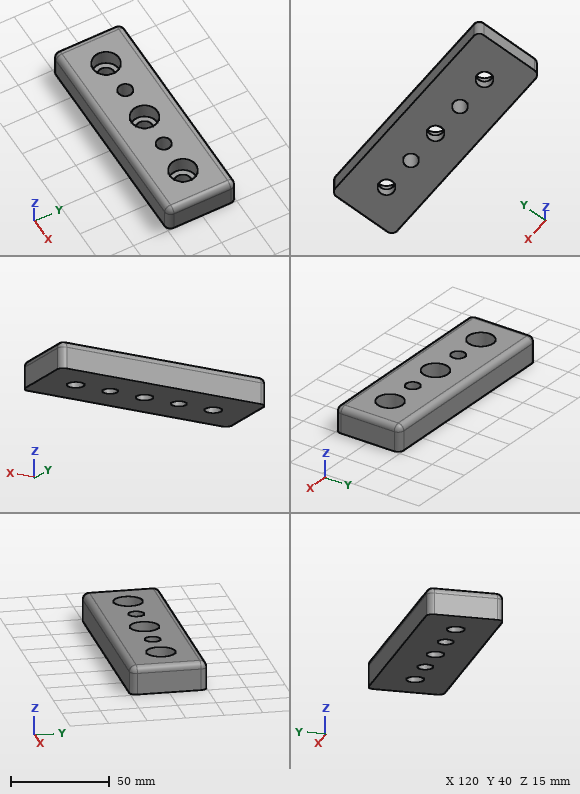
import cadquery as cq

length = 120.0
width = length / 3
height = length / 8
edge_radius = 3.5

hole_pitch = length / 6
plain_hole_diameter = 8.0
screw_hole_diameter = 9.0
counterbore_diameter = height
counterbore_depth = 9.0

block = (
    cq.Workplane("XY")
    .box(length, width, height, centered=(True, True, False))
    .edges("|Z or >Z")
    .fillet(edge_radius)
)

screw_hole_points = [(step * hole_pitch, 0) for step in (-2, 0, 2)]
block = (
    block.faces(">Z")
    .workplane(origin=(0, 0, height))
    .pushPoints(screw_hole_points)
    .cboreHole(screw_hole_diameter, counterbore_diameter, counterbore_depth)
)

plain_hole_points = [(step * hole_pitch, 0) for step in (-1, 1)]
result = (
    block.faces(">Z")
    .workplane(origin=(0, 0, height))
    .pushPoints(plain_hole_points)
    .hole(plain_hole_diameter)
)